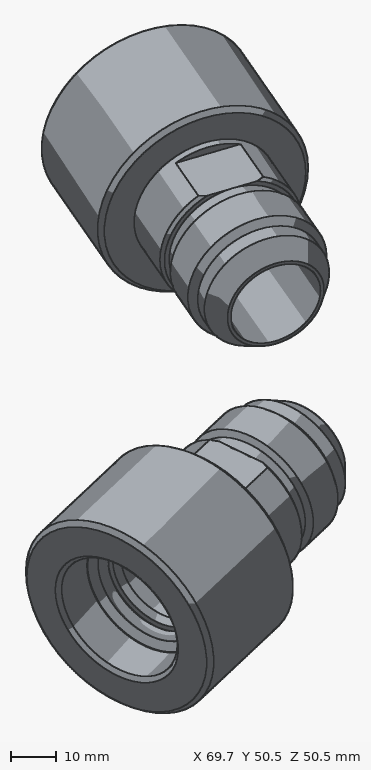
import cadquery as cq

total_length = 69.7
flange_end = 32.05
flat_start = 33.7
collar_end = 46.55
thread_start = 49.7
thread_end = 61.4
nose_start = 64.95

flange_diameter = 50.5
collar_diameter = 34.0
groove_diameter = 30.25
thread_diameter = 33.3
tip_diameter = 30.0
nose_diameter = 23.15

flange_chamfer = 1.1
collar_chamfer = 0.8
thread_entry_chamfer = 0.9
thread_exit_chamfer = 1.5

across_flats = groove_diameter

mouth_diameter = 33.05
socket_diameter = 31.0
seat_diameter = 30.6
seat_end_diameter = 27.45
lip_diameter = 24.7
undercut_diameter = 26.5
throat_diameter = 23.55
bore_diameter = 21.5
mouth_depth = 1.0
socket_depth = 10.45
seat_end_depth = 12.2
lip_depth = 14.15
throat_depth = 15.0
throat_end_depth = 16.65
lip_bulge = 0.4


def make_body():
    """Turned outside shape, revolved about the X axis."""
    flange_radius = flange_diameter / 2
    collar_radius = collar_diameter / 2
    groove_radius = groove_diameter / 2
    thread_radius = thread_diameter / 2
    tip_radius = tip_diameter / 2
    return (
        cq.Workplane("XY")
        .moveTo(0, 0)
        .lineTo(0, flange_radius - flange_chamfer)
        .lineTo(flange_chamfer, flange_radius)
        .lineTo(flange_end - flange_chamfer, flange_radius)
        .lineTo(flange_end, flange_radius - flange_chamfer)
        .lineTo(flange_end, collar_radius)
        .lineTo(collar_end - collar_chamfer, collar_radius)
        .lineTo(collar_end, collar_radius - collar_chamfer)
        .lineTo(collar_end, groove_radius)
        .lineTo(thread_start, groove_radius)
        .lineTo(thread_start + thread_entry_chamfer, thread_radius)
        .lineTo(thread_end - thread_exit_chamfer, thread_radius)
        .lineTo(thread_end, tip_radius)
        .lineTo(nose_start, tip_radius)
        .lineTo(total_length, nose_diameter / 2)
        .lineTo(total_length, 0)
        .close()
        .revolve(360, (0, 0, 0), (1, 0, 0))
    )


def make_bore():
    """Stepped socket, rounded lip with an undercut behind it, and through bore, revolved about the X axis."""
    seat_end_radius = seat_end_diameter / 2
    lip_radius = lip_diameter / 2
    lip_middle = (
        (seat_end_depth + lip_depth) / 2 - lip_bulge,
        (seat_end_radius + lip_radius) / 2 - lip_bulge,
    )
    return (
        cq.Workplane("XY")
        .moveTo(0, 0)
        .lineTo(0, mouth_diameter / 2)
        .lineTo(mouth_depth, socket_diameter / 2)
        .lineTo(socket_depth, socket_diameter / 2)
        .lineTo(socket_depth, seat_diameter / 2)
        .lineTo(seat_end_depth, seat_end_radius)
        .threePointArc(lip_middle, (lip_depth, lip_radius))
        .lineTo(lip_depth, undercut_diameter / 2)
        .lineTo(throat_depth, undercut_diameter / 2)
        .lineTo(throat_depth, throat_diameter / 2)
        .lineTo(throat_end_depth, bore_diameter / 2)
        .lineTo(total_length, bore_diameter / 2)
        .lineTo(total_length, 0)
        .close()
        .revolve(360, (0, 0, 0), (1, 0, 0))
    )


def make_flat_cut(side):
    """Block that leaves one wrench flat; side is +1 for +Z and -1 for -Z."""
    length = collar_end - flat_start
    return cq.Workplane("XY").box(length, collar_diameter, collar_diameter).translate(
        (flat_start + length / 2, 0, side * (across_flats + collar_diameter) / 2)
    )


result = make_body().cut(make_bore())
for side in (1, -1):
    result = result.cut(make_flat_cut(side))